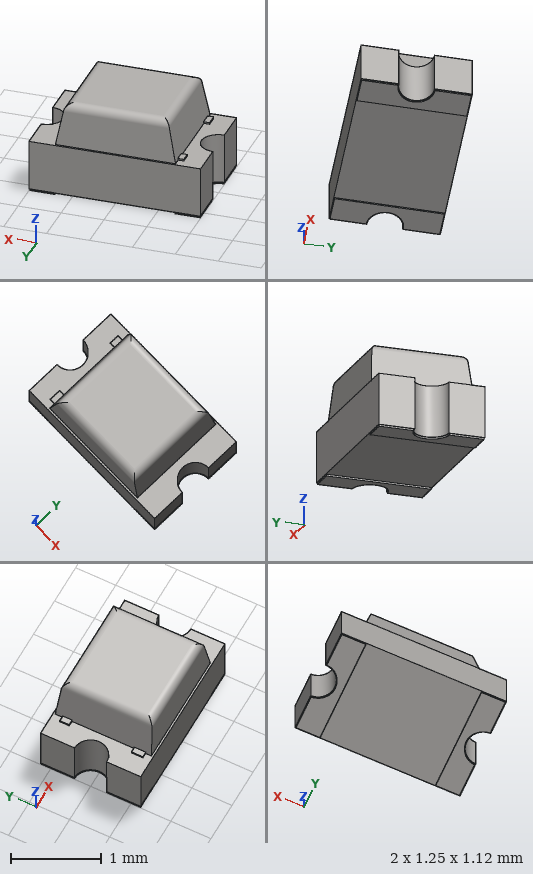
import cadquery as cq

base_length = 2.0
base_width = 1.25
overall_height = 1.12
notch_radius = 0.2

pad_thickness = 0.02
pad_inner_edge_x = 0.7
pad_inset = 0.008

lens_base_length = 1.4
lens_base_width = 1.2
lens_top_length = 1.2
lens_top_width = 1.12
lens_height = 0.5
lens_edge_radius = 0.1

contact_overhang = 0.065
contact_height = 0.02
contact_overlap = 0.04
contact_spans_y = [(-0.528, -0.385), (0.39, 0.51)]

base_top_z = overall_height - lens_height
half_length = base_length / 2


def end_notches(radius):
    """Upright cylinders centred on the two end faces, as tall as the part."""
    return (
        cq.Workplane("XY")
        .pushPoints([(-half_length, 0), (half_length, 0)])
        .circle(radius)
        .extrude(overall_height)
    )


def make_base():
    block = (
        cq.Workplane("XY", origin=(0, 0, pad_thickness))
        .rect(base_length, base_width)
        .extrude(base_top_z - pad_thickness)
    )
    return block.cut(end_notches(notch_radius))


def make_pads():
    """Two pads, set in slightly from the outline of the base and its notches."""
    pad_length = half_length - pad_inset - pad_inner_edge_x
    pad_center_x = pad_inner_edge_x + pad_length / 2
    pads = (
        cq.Workplane("XY")
        .pushPoints([(-pad_center_x, 0), (pad_center_x, 0)])
        .rect(pad_length, base_width - 2 * pad_inset)
        .extrude(pad_thickness)
    )
    return pads.cut(end_notches(notch_radius + pad_inset))


def tapered_slab(plane, bottom_size, top_size, depth):
    """A slab of the given depth, centred on its plane, with a trapezium outline."""
    outline = [
        (-bottom_size / 2, base_top_z),
        (bottom_size / 2, base_top_z),
        (top_size / 2, overall_height),
        (-top_size / 2, overall_height),
    ]
    return cq.Workplane(plane).polyline(outline).close().extrude(depth / 2, both=True)


def make_lens():
    """The slab tapered along X and the slab tapered along Y share the lens shape."""
    taper_along_x = tapered_slab("XZ", lens_base_length, lens_top_length, lens_base_width)
    taper_along_y = tapered_slab("YZ", lens_base_width, lens_top_width, lens_base_length)
    lens = taper_along_x.intersect(taper_along_y)
    return lens.faces(">Z").edges().fillet(lens_edge_radius)


def make_contact(y_min, y_max):
    """A flat strip on the base that ends a little way inside the lens."""
    outer_x = -lens_base_length / 2 - contact_overhang
    strip = cq.Workplane("XY").box(
        contact_overhang + contact_overlap,
        y_max - y_min,
        contact_height,
        centered=False,
    )
    return strip.translate((outer_x, y_min, base_top_z))


result = make_base().union(make_pads()).union(make_lens())
for y_min, y_max in contact_spans_y:
    result = result.union(make_contact(y_min, y_max))